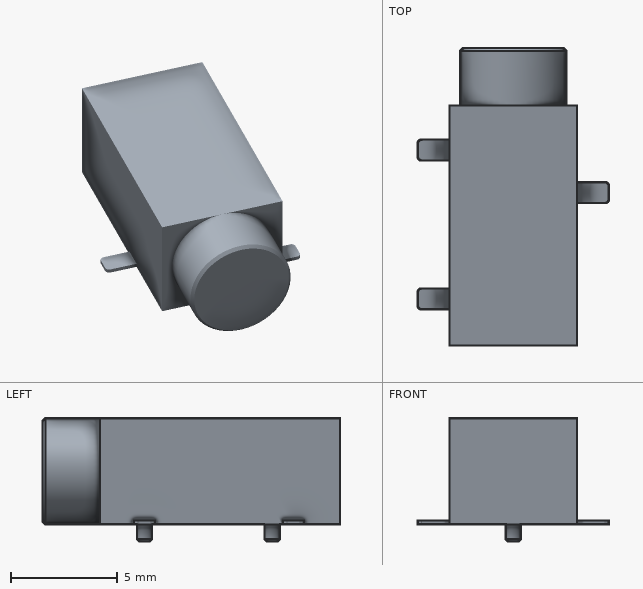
import cadquery as cq

total_length = 14.0
barrel_length = 2.7
body_width = 6.0
body_height = 5.0
body_length = total_length - barrel_length

barrel_diameter = body_height
barrel_edge_chamfer = 0.14

terminal_span = 9.0
terminal_width = 1.0
terminal_thickness = 0.18
terminal_corner_radius = 0.2
first_terminal_y = 9.2
left_terminal_pitch = 7.0
right_terminal_offset = 2.0

peg_diameter = 0.73
peg_height = 0.81
peg_tip_chamfer = 0.13
peg_pitch = 6.0

LEFT = -1
RIGHT = 1


def make_body():
    """Rectangular housing with its front face at Y = 0 and underside at Z = 0."""
    return cq.Workplane("XY").box(body_width, body_length, body_height, centered=(True, False, False))


def make_barrel():
    """Round barrel with a bevelled free end."""
    return (
        cq.Workplane("XZ", origin=(0, body_length, body_height / 2))
        .circle(barrel_diameter / 2)
        .extrude(-barrel_length)
        .faces(">Y")
        .chamfer(barrel_edge_chamfer)
    )


def make_terminal(side, center_y):
    """Flat tab from the middle of the body out to one side, with rounded outer corners."""
    reach = terminal_span / 2
    outer_edges = "|Z and >X" if side == RIGHT else "|Z and <X"
    return (
        cq.Workplane("XY")
        .center(side * reach / 2, center_y)
        .rect(reach, terminal_width)
        .extrude(terminal_thickness)
        .edges(outer_edges)
        .fillet(terminal_corner_radius)
    )


def make_peg(center_y):
    """Round peg hanging below the body, with a bevelled tip."""
    return (
        cq.Workplane("XY", origin=(0, center_y, 0))
        .circle(peg_diameter / 2)
        .extrude(-peg_height)
        .faces("<Z")
        .chamfer(peg_tip_chamfer)
    )


terminals = [
    (LEFT, first_terminal_y),
    (LEFT, first_terminal_y - left_terminal_pitch),
    (RIGHT, first_terminal_y - right_terminal_offset),
]
peg_positions = [first_terminal_y, first_terminal_y - peg_pitch]

result = make_body().union(make_barrel())
for side, center_y in terminals:
    result = result.union(make_terminal(side, center_y))
for center_y in peg_positions:
    result = result.union(make_peg(center_y))